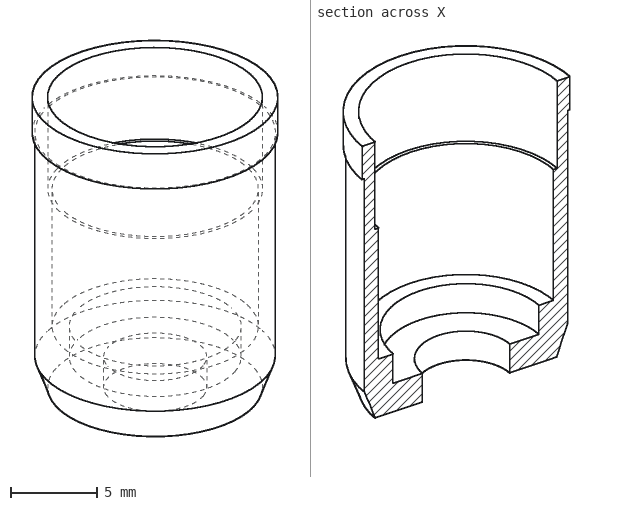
import cadquery as cq
import math

total_height = 19.0
collar_diameter = 14.3
collar_height = 2.3
body_diameter = 14.0
tip_diameter = 12.5
taper_angle = 20.0

mouth_diameter = 12.5
mouth_depth = 6.0
bore_diameter = 12.0
seat_diameter = 10.0
seat_depth = 2.0
floor_thickness = 2.0
outlet_diameter = 6.0

taper_height = (body_diameter - tip_diameter) / 2 / math.tan(math.radians(taper_angle))
collar_bottom = total_height - collar_height
mouth_bottom = total_height - mouth_depth
seat_top = floor_thickness + seat_depth


def cylinder(diameter, bottom, top):
    """Upright cylinder on the Z axis between two heights."""
    return cq.Workplane("XY").workplane(offset=bottom).circle(diameter / 2).extrude(top - bottom)


def make_shell():
    """Solid outer form: tapered tip, straight body and top collar."""
    profile = [
        (0, 0),
        (tip_diameter / 2, 0),
        (body_diameter / 2, taper_height),
        (body_diameter / 2, collar_bottom),
        (collar_diameter / 2, collar_bottom),
        (collar_diameter / 2, total_height),
        (0, total_height),
    ]
    return cq.Workplane("XZ").polyline(profile).close().revolve(360, (0, 0), (0, 1))


def make_stepped_bore():
    """Through bore that narrows in steps from the mouth to the outlet."""
    mouth = cylinder(mouth_diameter, mouth_bottom, total_height)
    bore = cylinder(bore_diameter, seat_top, mouth_bottom)
    seat = cylinder(seat_diameter, floor_thickness, seat_top)
    outlet = cylinder(outlet_diameter, 0, floor_thickness)
    return mouth.union(bore).union(seat).union(outlet)


result = make_shell().cut(make_stepped_bore())